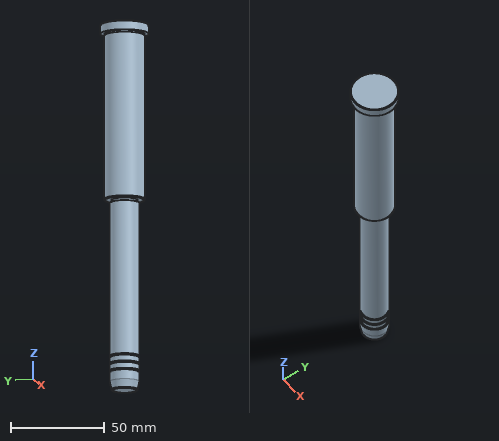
import cadquery as cq

total_length = 200.0
head_diameter = 26.0
head_height = 5.0
shank_diameter = 22.0
shank_bottom = 104.0
pin_diameter = 16.0

head_chamfer = 0.5
shank_chamfer = 0.5
head_relief_width = 1.0
head_relief_depth = 0.2
neck_diameter = 14.5
neck_width = 1.5

taper_height = 5.0
tip_diameter = 14.0
tip_chamfer = 0.5

groove_count = 3
groove_pitch = 4.0
groove_width = 1.0
groove_depth = 0.5
lowest_groove_height = 10.5


def cylinder(diameter, bottom, top):
    return cq.Workplane("XY").workplane(offset=bottom).circle(diameter / 2).extrude(top - bottom)


def ring_cut(body, outer_diameter, inner_diameter, bottom, width):
    """Turn the body down to inner_diameter over a band of the given width."""
    clearance = 2.0
    ring = cylinder(outer_diameter + clearance, bottom, bottom + width)
    return body.cut(ring.cut(cylinder(inner_diameter, bottom, bottom + width)))


head_bottom = total_length - head_height
head = cylinder(head_diameter, head_bottom, total_length).faces(">Z").edges().chamfer(head_chamfer)

shank = cylinder(shank_diameter, shank_bottom, head_bottom).faces("<Z").edges().chamfer(shank_chamfer)
relief_diameter = shank_diameter - 2 * head_relief_depth
shank = ring_cut(
    shank, shank_diameter, relief_diameter, head_bottom - head_relief_width, head_relief_width
)

pin = cylinder(pin_diameter, taper_height, shank_bottom)
pin = ring_cut(pin, pin_diameter, neck_diameter, shank_bottom - neck_width, neck_width)
pin_radius = pin_diameter / 2
for index in range(groove_count):
    groove_height = lowest_groove_height + index * groove_pitch
    groove = (
        cq.Workplane("XZ")
        .moveTo(pin_radius, groove_height - groove_width / 2)
        .lineTo(pin_radius - groove_depth, groove_height)
        .lineTo(pin_radius, groove_height + groove_width / 2)
        .close()
        .revolve(360, (0, 0), (0, 1))
    )
    pin = pin.cut(groove)

tip = (
    cq.Workplane("XY")
    .circle(tip_diameter / 2)
    .workplane(offset=taper_height)
    .circle(pin_diameter / 2)
    .loft(ruled=True)
    .faces("<Z")
    .edges()
    .chamfer(tip_chamfer)
)

result = head.union(shank).union(pin).union(tip)